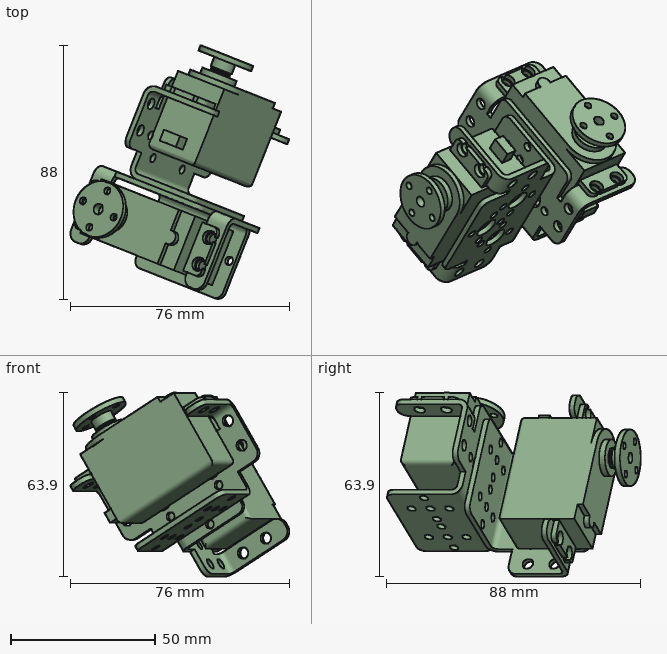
import cadquery as cq
import math


BODY_LENGTH = 40.9
BODY_WIDTH = 20.2
BODY_HEIGHT = 28.6
BOTTOM_FILLET = 1.6
LID_LENGTH = 35.0
LID_HEIGHT = 2.0
SHAFT_X = -(BODY_LENGTH - BODY_WIDTH) / 2
LID_BUMP_RADIUS = 2.5
LID_BUMP_OFFSET = 0.5

EAR_REACH = 7.0
EAR_WIDTH = 18.1
EAR_THICKNESS = 2.0
EAR_TOP = -5.9
EAR_CORNER_RADIUS = 2.0
EAR_HOLE_DIAMETER = 4.8
EAR_HOLE_OFFSET = 4.75
MOUNT_HOLE_SPACING = 9.95

CABLE_LENGTH = 5.0
CABLE_WIDTH = 7.0
CABLE_HEIGHT = 4.05
CABLE_TOP = -20.8

COLLAR_DIAMETER = 12.85
COLLAR_TOP = 4.2
SPLINE_TEETH = 24
SPLINE_DIAMETER = 7.0
SPLINE_TOOTH_DEPTH = 0.4
HUB_DIAMETER = 7.9
HUB_BOTTOM = 5.7
HORN_DIAMETER = 19.7
HORN_THICKNESS = 2.0
HORN_TOP = 11.2
HORN_SCREW_DIAMETER = 3.7
HORN_SCREW_DEPTH = 3.8
HORN_HOLE_DIAMETER = 2.5
HORN_HOLE_RADIUS = 7.0
HORN_TURN = -5.6

SHEET = 1.9
BEND_RADIUS = 3.9
PLATE_OUTER_Y = 14.4
PLATE_HALF_LENGTH = 19.0
PLATE_TOP = -3.0
PLATE_CORNER_RADIUS = 2.9
TAB_HALF_LENGTH = 29.1
TAB_BOTTOM = -31.1
TAB_CORNER_RADIUS = 3.4
TAB_HOLE_DIAMETER = 3.9
TAB_HOLE_X = 25.0
TAB_UPPER_HOLE_Z = -14.1
FOOT_BOTTOM = -40.3
FOOT_FREE_Y = -13.9
FOOT_CORNER_RADIUS = 3.0
EAR_FLANGE_TOP = -7.8
EAR_FLANGE_FREE_Y = -13.6
EAR_FLANGE_CORNER_RADIUS = 3.5
RELIEF_WIDTH = 2.0
RELIEF_END_Z = -14.9

BOLT_DIAMETER = 3.0
RING_RADIUS = 7.0
WINDOW_DIAMETER = 7.9
WINDOW_ROW_Z = -24.3
WINDOW_ROW_HALF_SPACING = 10.5
WINDOW_RISE = 9.95
FOOT_RING_HALF_SPACING = 9.5
FOOT_ROW_Y = 0.0

TILT = 31.3
HEADING = -21.6


def block(x_range, y_range, z_range):
    """Box between the given limits."""
    sizes = [high - low for low, high in (x_range, y_range, z_range)]
    corner = (x_range[0], y_range[0], z_range[0])
    return cq.Workplane("XY").box(*sizes, centered=False).translate(corner)


def upright(diameter, bottom, top, points):
    """Cylinders along Z at the given (x, y) points."""
    plane = cq.Workplane("XY").workplane(offset=bottom)
    return plane.pushPoints(points).circle(diameter / 2).extrude(top - bottom)


def ring(x, y, radius=RING_RADIUS, turn=0.0):
    """Four points evenly around (x, y)."""
    angles = [math.radians(turn + quarter * 90) for quarter in range(4)]
    return [(x + radius * math.cos(a), y + radius * math.sin(a)) for a in angles]


def mount_holes(side):
    """The two screw points of the ear at one end of the servo."""
    x = side * (BODY_LENGTH / 2 + EAR_HOLE_OFFSET)
    return [(x, y) for y in (-MOUNT_HOLE_SPACING / 2, MOUNT_HOLE_SPACING / 2)]


def servo_ear(side):
    """Ear at one end of the servo, with two screw holes that break out through its end."""
    inner = side * BODY_LENGTH / 2
    outer = inner + side * EAR_REACH
    z_range = (EAR_TOP - EAR_THICKNESS, EAR_TOP)
    half_width = EAR_WIDTH / 2
    ear = block(sorted((inner, outer)), (-half_width, half_width), z_range)
    ear = ear.edges("|Z").edges(">X" if side > 0 else "<X").fillet(EAR_CORNER_RADIUS)
    return ear.cut(upright(EAR_HOLE_DIAMETER, *z_range, mount_holes(side)))


def spline():
    """Toothed output shaft between the collar and the horn's hub."""
    points = []
    for step in range(2 * SPLINE_TEETH):
        radius = SPLINE_DIAMETER / 2 - SPLINE_TOOTH_DEPTH * (step % 2)
        angle = math.pi * step / SPLINE_TEETH
        points.append((SHAFT_X + radius * math.cos(angle), radius * math.sin(angle)))
    plane = cq.Workplane("XY").workplane(offset=COLLAR_TOP)
    return plane.polyline(points).close().extrude(HUB_BOTTOM - COLLAR_TOP)


def horn():
    """Round horn with its hub, a centre screw hole and four turned link holes."""
    center = [(SHAFT_X, 0)]
    disc_bottom = HORN_TOP - HORN_THICKNESS
    disc = upright(HORN_DIAMETER, disc_bottom, HORN_TOP, center)
    disc = disc.union(upright(HUB_DIAMETER, HUB_BOTTOM, disc_bottom, center))
    links = ring(SHAFT_X, 0, HORN_HOLE_RADIUS, HORN_TURN)
    disc = disc.cut(upright(HORN_HOLE_DIAMETER, disc_bottom, HORN_TOP, links))
    return disc.cut(upright(HORN_SCREW_DIAMETER, HORN_TOP - HORN_SCREW_DEPTH, HORN_TOP, center))


def servo():
    """Servo with its lid, ears, cable exit, shaft and horn."""
    half_length = BODY_LENGTH / 2
    half_width = BODY_WIDTH / 2
    body = block((-half_length, half_length), (-half_width, half_width), (-BODY_HEIGHT, 0))
    body = body.faces("<Z").edges().fillet(BOTTOM_FILLET)

    lid_end = LID_LENGTH - half_length
    center = [(SHAFT_X, 0)]
    bump_center = [(lid_end + LID_BUMP_OFFSET, 0)]
    body = body.union(block((SHAFT_X, lid_end), (-half_width, half_width), (0, LID_HEIGHT)))
    body = body.union(upright(BODY_WIDTH, 0, LID_HEIGHT, center))
    body = body.union(upright(2 * LID_BUMP_RADIUS, 0, LID_HEIGHT, bump_center))
    body = body.union(upright(COLLAR_DIAMETER, LID_HEIGHT, COLLAR_TOP, center))

    cable = block(
        (-half_length - CABLE_LENGTH, -half_length),
        (-CABLE_WIDTH / 2, CABLE_WIDTH / 2),
        (CABLE_TOP - CABLE_HEIGHT, CABLE_TOP),
    )
    body = body.union(cable).union(servo_ear(-1)).union(servo_ear(1))
    return body.union(spline()).union(horn())


def bent_flange(x_range, outer_z, side, free_y, corner_radius):
    """Bend off the plate with its flange; side is 1 for a bend upwards and -1 for a bend downwards."""
    inner_radius = BEND_RADIUS - SHEET
    center_y = PLATE_OUTER_Y - BEND_RADIUS
    center_z = outer_z - side * BEND_RADIUS
    diagonal = math.sqrt(0.5)

    def middle(radius):
        return (center_y + radius * diagonal, center_z + side * radius * diagonal)

    profile = (
        cq.Workplane("YZ", origin=(x_range[0], 0, 0))
        .moveTo(PLATE_OUTER_Y, center_z)
        .threePointArc(middle(BEND_RADIUS), (center_y, outer_z))
        .lineTo(free_y, outer_z)
        .lineTo(free_y, outer_z - side * SHEET)
        .lineTo(center_y, outer_z - side * SHEET)
        .threePointArc(middle(inner_radius), (PLATE_OUTER_Y - SHEET, center_z))
        .close()
    )
    flange = profile.extrude(x_range[1] - x_range[0])
    return flange.edges("|Z").edges("<Y").fillet(corner_radius)


def through_plate(diameter, points):
    """Cylinders through the main plate at the given (x, z) points."""
    plane = cq.Workplane("XZ", origin=(0, PLATE_OUTER_Y, 0))
    return plane.pushPoints(points).circle(diameter / 2).extrude(SHEET)


def plate():
    """Flat main plate with the tabs at its ends."""
    y_range = (PLATE_OUTER_Y - SHEET, PLATE_OUTER_Y)
    foot_bend_z = FOOT_BOTTOM + BEND_RADIUS
    main = block((-PLATE_HALF_LENGTH, PLATE_HALF_LENGTH), y_range, (foot_bend_z, PLATE_TOP))
    main = main.edges("|Y").edges(">Z").fillet(PLATE_CORNER_RADIUS)

    ear_bend_z = EAR_FLANGE_TOP - BEND_RADIUS
    tabs = block((-TAB_HALF_LENGTH, TAB_HALF_LENGTH), y_range, (TAB_BOTTOM, ear_bend_z))
    tabs = tabs.edges("|Y").edges("<Z").fillet(TAB_CORNER_RADIUS)
    flat = main.union(tabs)

    for side in (-1, 1):
        relief_x = sorted(side * x for x in (PLATE_HALF_LENGTH, PLATE_HALF_LENGTH + RELIEF_WIDTH))
        flat = flat.cut(block(relief_x, y_range, (RELIEF_END_Z, PLATE_TOP)))

    windows = [(side * WINDOW_ROW_HALF_SPACING, WINDOW_ROW_Z) for side in (-1, 1)]
    windows.append((0, WINDOW_ROW_Z + WINDOW_RISE))
    flat = flat.cut(through_plate(WINDOW_DIAMETER, windows))
    for window in windows:
        flat = flat.cut(through_plate(BOLT_DIAMETER, ring(*window)))

    tab_holes = [
        (side * TAB_HOLE_X, TAB_UPPER_HOLE_Z - drop)
        for side in (-1, 1)
        for drop in (0, MOUNT_HOLE_SPACING)
    ]
    return flat.cut(through_plate(TAB_HOLE_DIAMETER, tab_holes))


def foot():
    """Wide bottom flange with two bolt rings, each around a centre bolt."""
    x_range = (-PLATE_HALF_LENGTH, PLATE_HALF_LENGTH)
    flange = bent_flange(x_range, FOOT_BOTTOM, -1, FOOT_FREE_Y, FOOT_CORNER_RADIUS)
    for side in (-1, 1):
        ring_x = side * FOOT_RING_HALF_SPACING
        bolts = ring(ring_x, FOOT_ROW_Y) + [(ring_x, FOOT_ROW_Y)]
        flange = flange.cut(upright(BOLT_DIAMETER, FOOT_BOTTOM, FOOT_BOTTOM + SHEET, bolts))
    return flange


def ear_flange(side):
    """Flange under one servo ear, with holes in line with the ear's."""
    x_range = sorted(side * x for x in (PLATE_HALF_LENGTH + RELIEF_WIDTH, TAB_HALF_LENGTH))
    flange = bent_flange(x_range, EAR_FLANGE_TOP, 1, EAR_FLANGE_FREE_Y, EAR_FLANGE_CORNER_RADIUS)
    holes = upright(TAB_HOLE_DIAMETER, EAR_FLANGE_TOP - SHEET, EAR_FLANGE_TOP, mount_holes(side))
    return flange.cut(holes)


def joint():
    """Servo in its bracket."""
    bracket = plate().union(foot()).union(ear_flange(-1)).union(ear_flange(1))
    return servo().union(bracket)


first = joint()
second = (
    first.rotate((0, 0, 0), (0, 0, 1), 90)
    .rotate((0, 0, 0), (1, 0, 0), -90)
    .translate((-FOOT_ROW_Y, PLATE_OUTER_Y - FOOT_BOTTOM, WINDOW_ROW_Z))
)
pair = first.union(second)
result = pair.rotate((0, 0, 0), (0, 1, 0), -TILT).rotate((0, 0, 0), (0, 0, 1), HEADING)